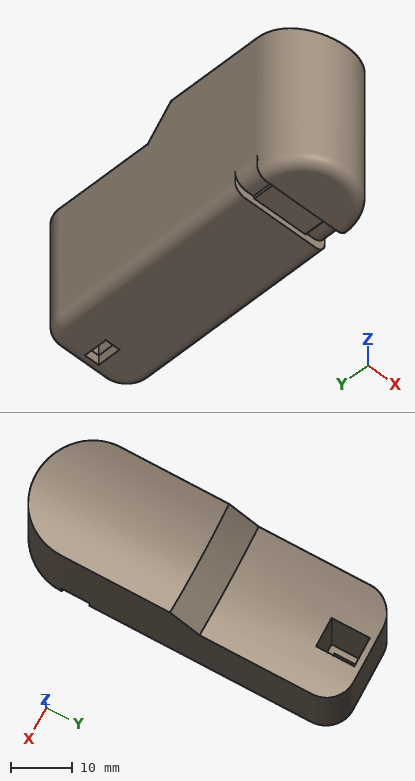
import cadquery as cq
import math

length = 60.95
width = 20.3
height = 31.75
half_width = width / 2
nose_y = -half_width
tail_y = nose_y + length
tail_corner_radius = 5.0
base_rounding = 2.2

ramp_top_y = nose_y + 30.05
ramp_foot_y = nose_y + 35.5
rear_height = 25.7
front_sag = 2.1
rear_sag = 1.45
cut_clearance = 0.6

notch_width = 5.1
notch_roof = 1.8
notch_rounding = 2.6
rail_bottom = 1.4
rail_margin = 1.5
rail_side_angle = 25.0

pocket_width = 5.3
pocket_length = 7.0
hole_step = 1.1
hole_center_y = tail_y - 4.65
pocket_floor = base_rounding


def make_blank():
    return (
        cq.Workplane("XY")
        .moveTo(half_width, 0)
        .lineTo(half_width, tail_y)
        .lineTo(-half_width, tail_y)
        .lineTo(-half_width, 0)
        .threePointArc((0, nose_y), (half_width, 0))
        .close()
        .extrude(height)
        .edges("|Z and >Y")
        .fillet(tail_corner_radius)
        .faces("<Z")
        .edges()
        .fillet(base_rounding)
    )


def space_profile(y, edge_height, sag):
    """Closed section of the space above the top surface, in the XZ plane at y."""
    ceiling = height + cut_clearance
    return (
        cq.Workplane("XZ", origin=(0, y, 0))
        .moveTo(-half_width, edge_height)
        .threePointArc((0, edge_height - sag), (half_width, edge_height))
        .lineTo(half_width, ceiling)
        .lineTo(-half_width, ceiling)
        .close()
        .wires()
        .val()
    )


def space_above_top():
    """Space to remove: a concave scoop that steps down from the front part to the rear part."""
    sections = [
        (nose_y, height, front_sag),
        (ramp_top_y, height, front_sag),
        (ramp_foot_y, rear_height, rear_sag),
        (tail_y, rear_height, rear_sag),
    ]
    profiles = [space_profile(*section) for section in sections]
    space = cq.Workplane("XY")
    for start, end in zip(profiles, profiles[1:]):
        space = space.add(cq.Solid.makeLoft([start, end], True))
    return space.combine()


def make_notch():
    """Cross notch that leaves a core with rounded sides and a low tapered rail along its underside."""
    rail_depth = notch_roof - rail_bottom
    rail_half_width = half_width - notch_rounding - rail_margin
    rail_taper = rail_depth * math.tan(math.radians(rail_side_angle))
    notch = (
        cq.Workplane("XY")
        .box(width, notch_width, notch_roof + notch_rounding, centered=(True, False, False))
    )
    core = (
        cq.Workplane("XY", origin=(0, 0, notch_roof))
        .box(width, notch_width, 2 * notch_rounding, centered=(True, False, False))
        .edges("|Y and <Z")
        .fillet(notch_rounding)
    )
    rail = (
        cq.Workplane("XZ")
        .moveTo(-rail_half_width, notch_roof)
        .lineTo(rail_half_width, notch_roof)
        .lineTo(rail_half_width - rail_taper, rail_bottom)
        .lineTo(rail_taper - rail_half_width, rail_bottom)
        .close()
        .extrude(-notch_width)
    )
    return notch.cut(core).cut(rail)


def make_hole():
    pocket = (
        cq.Workplane("XY", origin=(0, hole_center_y, pocket_floor))
        .rect(pocket_width, pocket_length)
        .extrude(height)
    )
    through = (
        cq.Workplane("XY", origin=(0, hole_center_y, 0))
        .rect(pocket_width - 2 * hole_step, pocket_length - 2 * hole_step)
        .extrude(height)
    )
    return pocket.union(through)


result = make_blank().cut(space_above_top()).cut(make_notch()).cut(make_hole())